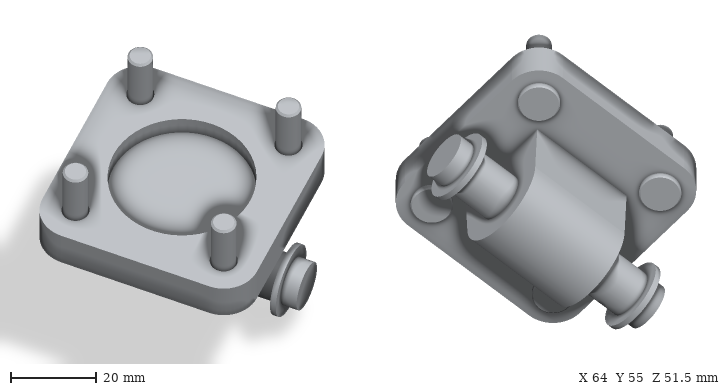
import cadquery as cq
import math

plate_side = 55.0
plate_thickness = 10.0
bolt_offset = 19.0
corner_radius = plate_side / 2 - bolt_offset
pocket_diameter = 35.0
pocket_depth = 5.0

lug_length = 28.0
lug_radius = 12.0
lug_taper = math.radians(2.6)
pin_drop = 15.0

pin_length = 64.0
pin_diameter = 12.0
collar_diameter = 18.0
collar_thickness = 1.5
pin_end_length = 4.0

bolt_diameter = 6.0
bolt_hole_diameter = 6.6
bolt_projection = 14.5
bolt_tip_chamfer = 0.5
head_diameter = 10.0
head_height = 1.5
head_chamfer = 0.3

bolt_positions = [(sx * bolt_offset, sy * bolt_offset) for sx in (-1, 1) for sy in (-1, 1)]


def make_plate():
    """Rounded square plate with a round pocket on top and four bolt holes."""
    plate = cq.Workplane("XY").rect(plate_side, plate_side).extrude(plate_thickness)
    plate = plate.edges("|Z").fillet(corner_radius)
    plate = plate.faces(">Z").workplane().hole(pocket_diameter, pocket_depth)
    return plate.faces("<Z").workplane().pushPoints(bolt_positions).hole(bolt_hole_diameter)


def make_lug():
    """Hanging lug whose flanks are tangent to the round end about the pin axis."""
    tangent_y = lug_radius * math.cos(lug_taper)
    tangent_z = -pin_drop - lug_radius * math.sin(lug_taper)
    top_half_width = tangent_y - tangent_z * math.tan(lug_taper)
    return (
        cq.Workplane("YZ")
        .moveTo(-top_half_width, 0)
        .lineTo(-tangent_y, tangent_z)
        .threePointArc((0, -pin_drop - lug_radius), (tangent_y, tangent_z))
        .lineTo(top_half_width, 0)
        .close()
        .extrude(lug_length / 2, both=True)
    )


def make_x_cylinder(start_x, length, diameter):
    """Cylinder on the pin axis, running from start_x toward +X."""
    return (
        cq.Workplane("YZ", origin=(start_x, 0, -pin_drop))
        .circle(diameter / 2)
        .extrude(length)
    )


def make_trunnion():
    """Pin with its two collars."""
    collar_outer_x = pin_length / 2 - pin_end_length
    pin = make_x_cylinder(-pin_length / 2, pin_length, pin_diameter)
    left_collar = make_x_cylinder(-collar_outer_x, collar_thickness, collar_diameter)
    right_collar = make_x_cylinder(collar_outer_x - collar_thickness, collar_thickness, collar_diameter)
    return pin.union(left_collar).union(right_collar)


def make_housing():
    """Plate, lug and trunnion as one solid."""
    return make_plate().union(make_lug()).union(make_trunnion())


def make_bolt(x, y):
    """Bolt whose head bears on the plate underside and whose tip stands above the plate."""
    shank = (
        cq.Workplane("XY", origin=(x, y, 0))
        .circle(bolt_diameter / 2)
        .extrude(plate_thickness + bolt_projection)
        .faces(">Z")
        .chamfer(bolt_tip_chamfer)
    )
    head = (
        cq.Workplane("XY", origin=(x, y, -head_height))
        .circle(head_diameter / 2)
        .extrude(head_height)
        .faces("<Z")
        .chamfer(head_chamfer)
    )
    return shank.union(head)


housing = make_housing()
bolts = [make_bolt(x, y) for x, y in bolt_positions]

result = cq.Compound.makeCompound([housing.val(), *[bolt.val() for bolt in bolts]])